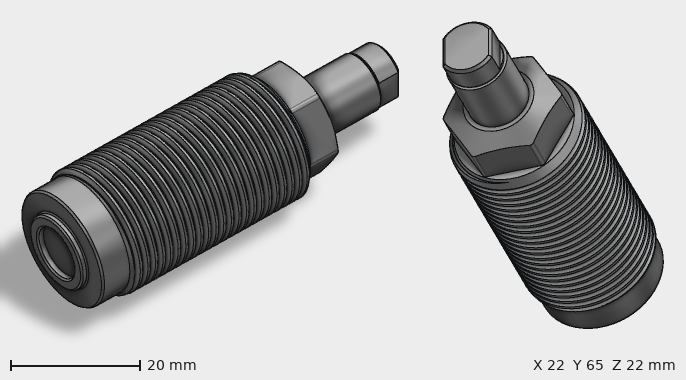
import cadquery as cq
import math


thread_radius = 22.0 / 2
thread_pitch = 1.5
thread_depth = 0.8
crest_width = 0.5
root_width = 0.2
root_radius = thread_radius - thread_depth
thread_start_y = 6.6
thread_end_y = 42.6
thread_end_radius = 9.85

nose_radius = 10.15
nose_face_y = 1.2
nose_chamfer_length = 0.4
nose_chamfer_depth = 0.25

ring_radius = 6.5
ring_chamfer = 0.3
ring_foot_radius = 6.75
ring_foot_height = 0.25
recess_radius = 4.5
recess_chamfer = 0.3
recess_depth = nose_face_y

hex_across_flats = 17.0
hex_corner_fillet = 0.8
hex_end_y = 50.0
hex_end_radius = 5.8
hex_cone_angle = 25.0

rod_radius = 5.0
rod_shoulder_y = 60.3
neck_radius = 4.5
neck_width = 0.45
tip_radius = 4.8
tip_end_y = 65.0
tip_chamfer = 0.45
tip_across_flats = 8.0


def revolve_about_y(points):
    """Turn a closed (radius, y) outline about the Y axis."""
    return cq.Workplane("ZY").polyline(points).close().revolve(360, (0, 0, 0), (0, 1, 0))


def plane_at(y):
    """Workplane square to the axis at height y, with its normal along +Y."""
    return cq.Workplane(cq.Plane(origin=(0, y, 0), xDir=(1, 0, 0), normal=(0, 1, 0)))


def cylinder(radius, start_y, end_y):
    return plane_at(start_y).circle(radius).extrude(end_y - start_y)


def make_thread_groove(start_y, end_y):
    """Right-handed helical cutter that starts on the +X side."""
    outer_margin = 0.2
    flank_slope = (thread_pitch - crest_width - root_width) / 2 / thread_depth
    mouth_radius = thread_radius + outer_margin
    mouth_width = root_width + 2 * flank_slope * (thread_depth + outer_margin)
    helix = cq.Wire.makeHelix(thread_pitch, end_y - start_y, root_radius)
    groove = (
        cq.Workplane("XZ")
        .polyline([
            (root_radius, -root_width / 2),
            (mouth_radius, -mouth_width / 2),
            (mouth_radius, mouth_width / 2),
            (root_radius, root_width / 2),
        ])
        .close()
        .sweep(cq.Workplane(obj=helix), isFrenet=True)
    )
    return groove.rotate((0, 0, 0), (1, 0, 0), -90).translate((0, start_y, 0))


def make_thread():
    """Threaded length, cut from an overlong grooved bar and bevelled 45 degrees at both ends."""
    groove_start_y = 4 * thread_pitch
    groove_end_y = thread_end_y + thread_pitch
    bar_overrun = 2 * thread_pitch
    bar = cylinder(thread_radius, groove_start_y - bar_overrun, groove_end_y + bar_overrun)
    envelope_margin = 0.5
    envelope_radius = thread_radius + envelope_margin
    envelope = revolve_about_y([
        (0, thread_start_y),
        (nose_radius, thread_start_y),
        (envelope_radius, thread_start_y + envelope_radius - nose_radius),
        (envelope_radius, thread_end_y - (envelope_radius - thread_end_radius)),
        (thread_end_radius, thread_end_y),
        (0, thread_end_y),
    ])
    return bar.cut(make_thread_groove(groove_start_y, groove_end_y)).intersect(envelope)


def make_nose():
    """Plain front end with its raised ring and the round recess inside the ring."""
    return revolve_about_y([
        (0, thread_start_y),
        (nose_radius, thread_start_y),
        (nose_radius, nose_face_y + nose_chamfer_length),
        (nose_radius - nose_chamfer_depth, nose_face_y),
        (ring_foot_radius, nose_face_y),
        (ring_radius, nose_face_y - ring_foot_height),
        (ring_radius, ring_chamfer),
        (ring_radius - ring_chamfer, 0),
        (recess_radius + recess_chamfer, 0),
        (recess_radius, recess_chamfer),
        (recess_radius, recess_depth),
        (0, recess_depth),
    ])


def make_hexagon():
    """Hexagon with flats facing +Z and -Z, rounded corners and a conical rear end."""
    corner_radius = hex_across_flats / 2 / math.cos(math.radians(30))
    cone_drop = (corner_radius - hex_end_radius) * math.tan(math.radians(hex_cone_angle))
    prism = (
        plane_at(thread_end_y)
        .polygon(6, 2 * corner_radius)
        .extrude(hex_end_y - thread_end_y)
        .edges("|Y")
        .fillet(hex_corner_fillet)
    )
    cone_envelope = revolve_about_y([
        (0, thread_end_y),
        (corner_radius, thread_end_y),
        (corner_radius, hex_end_y - cone_drop),
        (hex_end_radius, hex_end_y),
        (0, hex_end_y),
    ])
    return prism.intersect(cone_envelope)


def make_housing():
    return make_thread().union(make_nose()).union(make_hexagon())


def make_rod_tip():
    """Round tip with two flats facing +X and -X and a chamfered end."""
    tip_start_y = rod_shoulder_y + neck_width
    flats = plane_at(tip_start_y).rect(tip_across_flats, 2 * tip_radius).extrude(tip_end_y - tip_start_y)
    tip = cylinder(tip_radius, tip_start_y, tip_end_y).intersect(flats)
    return tip.faces(">Y").chamfer(tip_chamfer)


def make_rod():
    shank = cylinder(rod_radius, hex_end_y, rod_shoulder_y)
    neck = cylinder(neck_radius, rod_shoulder_y, rod_shoulder_y + neck_width)
    return shank.union(neck).union(make_rod_tip())


housing = make_housing()
rod = make_rod()

result = cq.Compound.makeCompound([housing.val(), rod.val()])